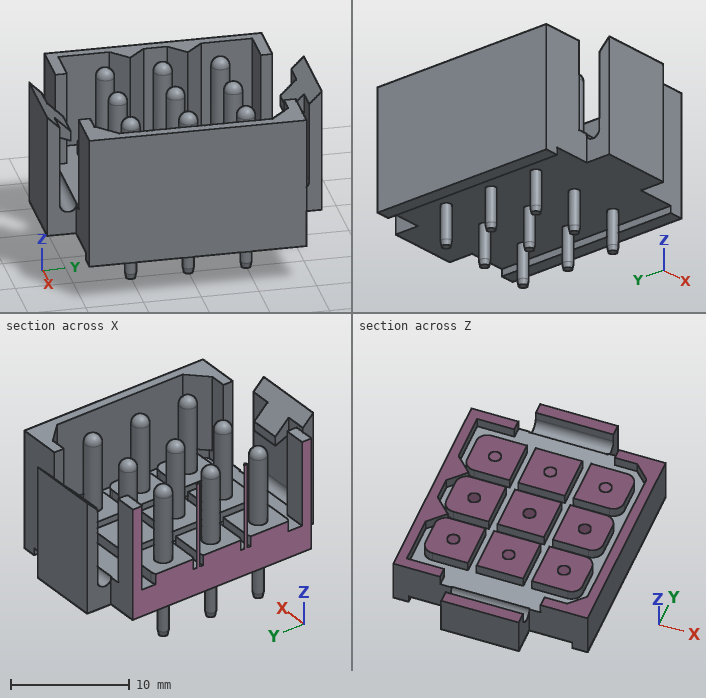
import cadquery as cq
import math

overall_height = 15.0
overall_y = 23.8

housing_x = 17.6
housing_y = 18.8
housing_height = 11.8
side_wall = 0.9
end_wall = 1.0

foot_width = 1.4
foot_height = 0.7

pad_depth = 7.4
pad_height = 1.0
upper_chamfer = 1.78
lower_chamfer = 1.33
key_depth = 1.48

grid_count = 3
pitch = 5.0
pad_size = 4.24
pad_corner_radius = 1.0

window_width = 9.05
latch_width = 7.05
latch_reach = (overall_y - housing_y) / 2
latch_thickness = 1.1
hook_width = 3.0
hook_tip_height = 0.9
hook_underside_slope = 0.43
slot_width = 1.5
slot_bottom = 2.75

contact_diameter = 1.6
contact_tip_gap = 0.05
tail_diameter = 1.0
tail_tip_diameter = 0.79
tail_tip_height = 0.52
tail_end_z = housing_height - overall_height

cavity_x = housing_x - 2 * side_wall
cavity_y = housing_y - 2 * end_wall
pad_top_z = housing_height - pad_depth
floor_z = pad_top_z - pad_height
wall_y = housing_y / 2
outer_y = wall_y + latch_reach
leaf_y = outer_y - latch_thickness
tip_top_z = housing_height - latch_reach
grid_places = [(i - (grid_count - 1) / 2) * pitch for i in range(grid_count)]
key_places = [(a + b) / 2 for a, b in zip(grid_places, grid_places[1:])]


def make_shell():
    """Solid block with a wide channel under it that leaves a foot along each side."""
    block = cq.Workplane("XY").box(housing_x, housing_y, housing_height, centered=(True, True, False))
    channel = cq.Workplane("XY").box(
        housing_x - 2 * foot_width, housing_y, foot_height, centered=(True, True, False)
    )
    return block.cut(channel)


def cavity_space(bottom_z, top_z, chamfer):
    """Keyed space inside the walls, with its two +X corners chamfered."""
    depth = top_z - bottom_z
    space = (
        cq.Workplane("XY", origin=(0, 0, bottom_z))
        .rect(cavity_x, cavity_y)
        .extrude(depth)
        .edges("|Z and >X")
        .chamfer(chamfer)
    )
    for key_y in key_places:
        key = (
            cq.Workplane("XY", origin=(-cavity_x / 2, key_y, bottom_z))
            .polyline([(0, -key_depth), (key_depth, 0), (0, key_depth)])
            .close()
            .extrude(depth)
        )
        space = space.cut(key)
    return space


def make_pad(column, row):
    """Raised pad under one pin; pads in the outer columns have rounded outer corners."""
    pad = cq.Workplane("XY", origin=(grid_places[column], grid_places[row], floor_z))
    pad = pad.rect(pad_size, pad_size).extrude(pad_height)
    if column == 0:
        pad = pad.edges("|Z and <X").fillet(pad_corner_radius)
    elif column == grid_count - 1:
        pad = pad.edges("|Z and >X").fillet(pad_corner_radius)
    return pad


def make_windows():
    """One cut through both end walls, from the cavity floor to the rim."""
    return cq.Workplane("XY", origin=(0, 0, floor_z)).box(
        window_width, housing_y, housing_height - floor_z, centered=(True, True, False)
    )


def extrude_across(outline, width):
    """Extrude a closed YZ outline to a width centred on X = 0."""
    return outline.extrude(width / 2, both=True)


def make_latch_block():
    """Block against the +Y wall, with the lead-in slope along its top, before the slot is cut."""
    outline = (
        cq.Workplane("YZ")
        .moveTo(wall_y, foot_height)
        .lineTo(outer_y, foot_height)
        .lineTo(outer_y, housing_height)
        .lineTo(wall_y, tip_top_z)
        .close()
    )
    return extrude_across(outline, latch_width)


def make_latch_slot():
    """Round-bottomed space that frees the leaf from the +Y wall."""
    radius = slot_width / 2
    centre_z = slot_bottom + radius
    outline = (
        cq.Workplane("YZ")
        .moveTo(leaf_y, housing_height)
        .lineTo(leaf_y, centre_z)
        .threePointArc((leaf_y - radius, slot_bottom), (leaf_y - slot_width, centre_z))
        .lineTo(leaf_y - slot_width, housing_height)
        .close()
    )
    return extrude_across(outline, latch_width)


def make_hook():
    """Narrow hook from the leaf back to the plane of the +Y wall."""
    tip_bottom_z = tip_top_z - hook_tip_height
    underside_rise = hook_underside_slope * (leaf_y - wall_y)
    outline = (
        cq.Workplane("YZ")
        .moveTo(leaf_y, housing_height - latch_thickness)
        .lineTo(wall_y, tip_top_z)
        .lineTo(wall_y, tip_bottom_z)
        .lineTo(leaf_y, tip_bottom_z + underside_rise)
        .close()
    )
    return extrude_across(outline, hook_width)


def add_latches(body):
    """Put a latch before the +Y wall and its mirror image before the -Y wall."""
    block = make_latch_block()
    slot = make_latch_slot()
    hook = make_hook()
    body = body.union(block).union(block.mirror("XZ"))
    body = body.cut(slot).cut(slot.mirror("XZ"))
    return body.union(hook).union(hook.mirror("XZ"))


def make_pin_upright():
    """Pin on the Z axis: chamfered tail, thicker contact standing on the pad, domed top."""
    contact_radius = contact_diameter / 2
    tail_radius = tail_diameter / 2
    dome_top_z = housing_height - contact_tip_gap
    dome_base_z = dome_top_z - contact_radius
    dome_middle = (
        contact_radius * math.sqrt(0.5),
        dome_base_z + contact_radius * math.sqrt(0.5),
    )
    half_outline = (
        cq.Workplane("XZ")
        .moveTo(0, tail_end_z)
        .lineTo(tail_tip_diameter / 2, tail_end_z)
        .lineTo(tail_radius, tail_end_z + tail_tip_height)
        .lineTo(tail_radius, pad_top_z)
        .lineTo(contact_radius, pad_top_z)
        .lineTo(contact_radius, dome_base_z)
        .threePointArc(dome_middle, (0, dome_top_z))
        .close()
    )
    return half_outline.revolve(360, (0, 0, 0), (0, 1, 0))


def make_housing():
    """Shell with its cavity, windows, pads, latches and the holes for the pin tails."""
    body = make_shell()
    body = body.cut(cavity_space(pad_top_z, housing_height, upper_chamfer))
    body = body.cut(cavity_space(floor_z, pad_top_z, lower_chamfer))
    body = body.cut(make_windows())
    for column in range(grid_count):
        for row in range(grid_count):
            body = body.union(make_pad(column, row))
    body = add_latches(body)
    tail_holes = (
        cq.Workplane("XY")
        .pushPoints([(x, y) for x in grid_places for y in grid_places])
        .circle(tail_diameter / 2)
        .extrude(pad_top_z)
    )
    return body.cut(tail_holes)


def make_pins():
    """One separate pin at every place of the contact grid."""
    pin = make_pin_upright().val()
    return [pin.moved(cq.Location(cq.Vector(x, y, 0))) for x in grid_places for y in grid_places]


housing = make_housing()
pins = make_pins()
result = cq.Compound.makeCompound([housing.val(), *pins])